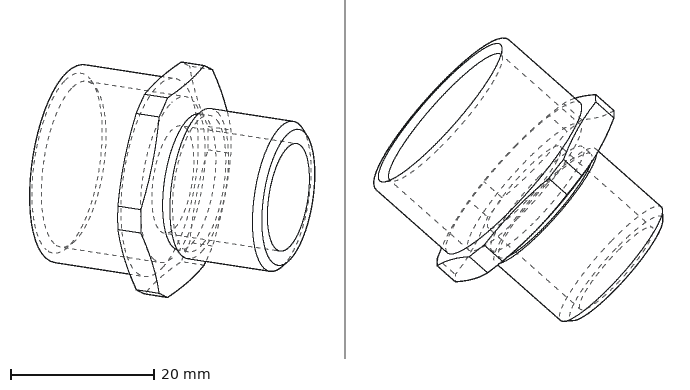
import cadquery as cq
import math

total_length = 33.5
socket_length = 14.0
flange_length = 4.5
neck_length = 1.5

socket_radius = 14.0
socket_rim_fillet = 0.5
socket_bore_radius = 11.72
socket_bore_depth = 16.0
socket_mouth_chamfer = 1.0

across_flats = 30.0
across_cut_corners = 32.63
bevel_face_radius = 14.5
bevel_angle = 15.0

spigot_radius = 10.62
spigot_chamfer = 1.0
neck_radius = 9.65
passage_radius = 7.6

flange_end = socket_length + flange_length
neck_end = flange_end + neck_length


def cylinder(start, length, radius):
    """Solid cylinder along +X beginning at the given X position."""
    return cq.Workplane("YZ", origin=(start, 0, 0)).circle(radius).extrude(length)


def hexagon(across, first_flat_angle):
    """Hexagonal prism over the flange, turned so one flat faces first_flat_angle from +Y."""
    circumscribed_diameter = across / math.cos(math.radians(30))
    prism = (
        cq.Workplane("YZ", origin=(socket_length, 0, 0))
        .polygon(6, circumscribed_diameter)
        .extrude(flange_length)
    )
    return prism.rotate((0, 0, 0), (1, 0, 0), first_flat_angle - 30)


def bevel_envelope():
    """Disc with a shallow cone on each face, enclosing the bevelled flange."""
    envelope_radius = across_flats / 2 / math.cos(math.radians(30))
    cone_drop = (envelope_radius - bevel_face_radius) * math.tan(math.radians(bevel_angle))
    profile = [
        (socket_length, 0),
        (socket_length, bevel_face_radius),
        (socket_length + cone_drop, envelope_radius),
        (flange_end - cone_drop, envelope_radius),
        (flange_end, bevel_face_radius),
        (flange_end, 0),
    ]
    return cq.Workplane("XY").polyline(profile).close().revolve(360, (0, 0), (1, 0))


def make_flange():
    """Hexagon with flats on top and bottom, its corners cut flat and both faces bevelled."""
    main_hexagon = hexagon(across_flats, 90)
    corner_hexagon = hexagon(across_cut_corners, 0)
    return main_hexagon.intersect(corner_hexagon).intersect(bevel_envelope())


def make_socket():
    return cylinder(0, socket_length, socket_radius).faces("<X").edges().fillet(socket_rim_fillet)


def make_spigot():
    spigot = cylinder(neck_end, total_length - neck_end, spigot_radius)
    return spigot.faces(">X").edges().chamfer(spigot_chamfer)


def make_bore():
    """Socket bore with a tapered mouth, and the narrower passage right through."""
    profile = [
        (0, 0),
        (0, socket_bore_radius + socket_mouth_chamfer),
        (socket_mouth_chamfer, socket_bore_radius),
        (socket_bore_depth, socket_bore_radius),
        (socket_bore_depth, passage_radius),
        (total_length, passage_radius),
        (total_length, 0),
    ]
    return cq.Workplane("XY").polyline(profile).close().revolve(360, (0, 0), (1, 0))


neck = cylinder(flange_end, neck_length, neck_radius)
outside = make_socket().union(make_flange()).union(neck).union(make_spigot())
result = outside.cut(make_bore())